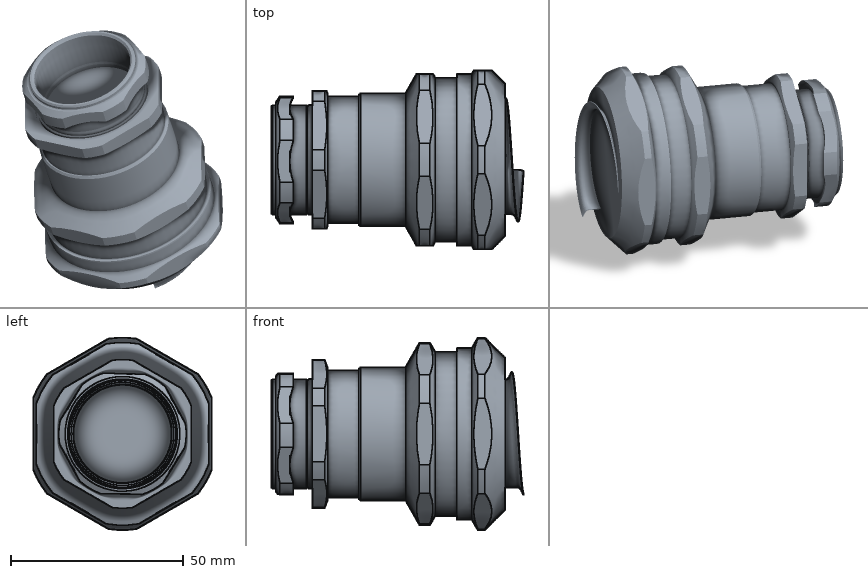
import cadquery as cq
import math


thread_dia = 31.9
thread_tip_dia = 31.1
thread_chamfer_length = 0.5
thread_end = 10.3
bore_mouth_dia = 30.0
bore_mouth_length = 0.6
bore_dia = 28.8
bore_step_start = 11.2
bore_step_end = 12.0
inner_bore_dia = 28.5
inner_bore_end = 13.3

seal_outer_dia = 32.0
seal_section_dia = 1.9
seal_center = 11.4
seal_seat_dia = 31.1

locknut_start = 1.3
locknut_front_dia = 33.35
locknut_cone_end = 2.6
locknut_end = 6.45
locknut_flats = 34.95
locknut_corner_dia = 37.0
locknut_recess_depth = 1.0
locknut_turn = 1.4

flange_start = 12.0
flange_cone_start = 15.6
flange_end = 16.5
flange_flats = 40.0
flange_corner_dia = 43.2
flange_back_dia = 38.05
face_groove_inner_dia = 32.9
face_groove_outer_dia = 34.1
face_groove_depth = 1.5

neck_dia = 37.0
body_start = 25.4
body_bevel_length = 0.65
body_bevel_dia = 37.75
body_dia = 38.8

middle_start = 39.1
middle_flats = 50.0
middle_corner_dia = 53.1
middle_front_end = 43.1
middle_back_start = 46.1
middle_end = 47.65

barrel_dia = 47.8
ring_start = 54.0
ring_dia = 50.0
ring_chamfer_length = 0.45
ring_chamfer_height = 0.1

rear_start = 58.3
rear_flats = 52.0
rear_corner_dia = 55.95
rear_front_end = 60.1
rear_back_start = 62.1
rear_end = 68.0

liner_end = 73.45
liner_outer_radius = 15.85
liner_wall = 0.2
lip_bend_radius = 1.0
lip_angle = 65
lip_outer_radius = 18.0
liner_wall_length = 4.8
liner_pitch = 7.2
liner_sweep_angle = 320
liner_end_angle = 259.5


def revolved(points):
    """Turn an (x, radius) outline about the X axis."""
    return cq.Workplane("XY").polyline(points).close().revolve(360, (0, 0, 0), (1, 0, 0))


def hexagon(start, end, flats, first_corner_angle):
    """Hexagonal prism along X; the corner angle is measured from +Y towards +Z."""
    corner_dia = flats / math.cos(math.radians(30))
    prism = cq.Workplane("YZ", origin=(start, 0, 0)).polygon(6, corner_dia).extrude(end - start)
    return prism.rotate((0, 0, 0), (1, 0, 0), first_corner_angle)


def make_core():
    """Round parts from the entry thread to the ring."""
    return revolved([
        (0, 0),
        (0, thread_tip_dia / 2),
        (thread_chamfer_length, thread_dia / 2),
        (thread_end, thread_dia / 2),
        (thread_end, seal_seat_dia / 2),
        (flange_cone_start, seal_seat_dia / 2),
        (flange_cone_start, neck_dia / 2),
        (body_start, neck_dia / 2),
        (body_start, body_bevel_dia / 2),
        (body_start + body_bevel_length, body_dia / 2),
        (middle_end, body_dia / 2),
        (middle_end, barrel_dia / 2),
        (ring_start, barrel_dia / 2),
        (ring_start, ring_dia / 2 - ring_chamfer_height),
        (ring_start + ring_chamfer_length, ring_dia / 2),
        (rear_start, ring_dia / 2),
        (rear_start, 0),
    ])


def make_bore():
    """Blind bore with a coned mouth and a tapered step near its end."""
    return revolved([
        (0, 0),
        (0, bore_mouth_dia / 2),
        (bore_mouth_length, bore_dia / 2),
        (bore_step_start, bore_dia / 2),
        (bore_step_end, inner_bore_dia / 2),
        (inner_bore_end, inner_bore_dia / 2),
        (inner_bore_end, 0),
    ])


def make_seal():
    """Round-section ring seated on the groove floor, reaching the flange face."""
    center_radius = (seal_outer_dia - seal_section_dia) / 2
    section = cq.Workplane("XY").center(seal_center, center_radius).circle(seal_section_dia / 2)
    return section.revolve(360, (0, -center_radius, 0), (1, -center_radius, 0))


def make_locknut():
    """Hexagon nut with a coned front and a dished back."""
    recess_floor = locknut_end - locknut_recess_depth
    envelope = revolved([
        (locknut_start, 0),
        (locknut_start, locknut_front_dia / 2),
        (locknut_cone_end, locknut_corner_dia / 2),
        (locknut_end, locknut_corner_dia / 2),
        (recess_floor, locknut_corner_dia / 2 - locknut_recess_depth),
        (recess_floor, 0),
    ])
    return hexagon(locknut_start, locknut_end, locknut_flats, locknut_turn).intersect(envelope)


def make_flange():
    """Hexagon coned at its back, with a narrow ring groove in its front face."""
    groove_floor = flange_start + face_groove_depth
    envelope = revolved([
        (flange_start, 0),
        (flange_start, face_groove_inner_dia / 2),
        (groove_floor, face_groove_inner_dia / 2),
        (groove_floor, face_groove_outer_dia / 2),
        (flange_start, face_groove_outer_dia / 2),
        (flange_start, flange_corner_dia / 2),
        (flange_cone_start, flange_corner_dia / 2),
        (flange_end, flange_back_dia / 2),
        (flange_end, 0),
    ])
    return hexagon(flange_start, flange_end, flange_flats, 90).intersect(envelope)


def make_middle_nut():
    """Hexagon nut coned on both sides down to the body and the barrel."""
    envelope = revolved([
        (middle_start, 0),
        (middle_start, body_dia / 2),
        (middle_front_end, middle_corner_dia / 2),
        (middle_back_start, middle_corner_dia / 2),
        (middle_end, barrel_dia / 2),
        (middle_end, 0),
    ])
    return hexagon(middle_start, middle_end, middle_flats, 90).intersect(envelope)


def make_rear_nut():
    """Hexagon nut with a 45 degree cone at its back."""
    end_radius = rear_corner_dia / 2 - (rear_end - rear_back_start)
    envelope = revolved([
        (rear_start, 0),
        (rear_start, ring_dia / 2),
        (rear_front_end, rear_corner_dia / 2),
        (rear_back_start, rear_corner_dia / 2),
        (rear_end, end_radius),
        (rear_end, 0),
    ])
    return hexagon(rear_start, rear_end, rear_flats, 90).intersect(envelope)


def make_liner():
    """Thin wall that bends out into a straight lip, swept along a helix about Z, then laid along X."""
    flare = math.radians(lip_angle)
    bend_center_radius = liner_outer_radius + lip_bend_radius
    inner_bend_radius = lip_bend_radius + liner_wall

    def bend_point(radius, angle):
        return (bend_center_radius - radius * math.cos(angle), radius * math.sin(angle))

    outer_bend_end = bend_point(lip_bend_radius, flare)
    inner_bend_end = bend_point(inner_bend_radius, flare)
    lip_rise = lip_outer_radius - outer_bend_end[0]
    lip_run = lip_rise / math.tan(flare)
    inner_tip = (inner_bend_end[0] + lip_rise, inner_bend_end[1] + lip_run)
    profile = (
        cq.Workplane("XZ")
        .moveTo(*bend_point(inner_bend_radius, 0))
        .line(0, -liner_wall_length)
        .line(liner_wall, 0)
        .line(0, liner_wall_length)
        .threePointArc(bend_point(lip_bend_radius, flare / 2), outer_bend_end)
        .line(lip_rise, lip_run)
        .lineTo(*inner_tip)
        .lineTo(*inner_bend_end)
        .threePointArc(bend_point(inner_bend_radius, flare / 2), bend_point(inner_bend_radius, 0))
        .close()
    )
    height = liner_pitch * liner_sweep_angle / 360
    path = cq.Workplane(cq.Wire.makeHelix(liner_pitch, height, liner_outer_radius))
    liner = profile.sweep(path, isFrenet=True)
    start_angle = liner_end_angle - liner_sweep_angle
    laid = liner.rotate((0, 0, 0), (0, 0, 1), start_angle).rotate((0, 0, 0), (1, 1, 1), 120)
    return laid.translate((liner_end - height - inner_tip[1], 0, 0))


result = (
    make_core()
    .union(make_seal())
    .union(make_locknut())
    .union(make_flange())
    .union(make_middle_nut())
    .union(make_rear_nut())
    .union(make_liner())
    .cut(make_bore())
)